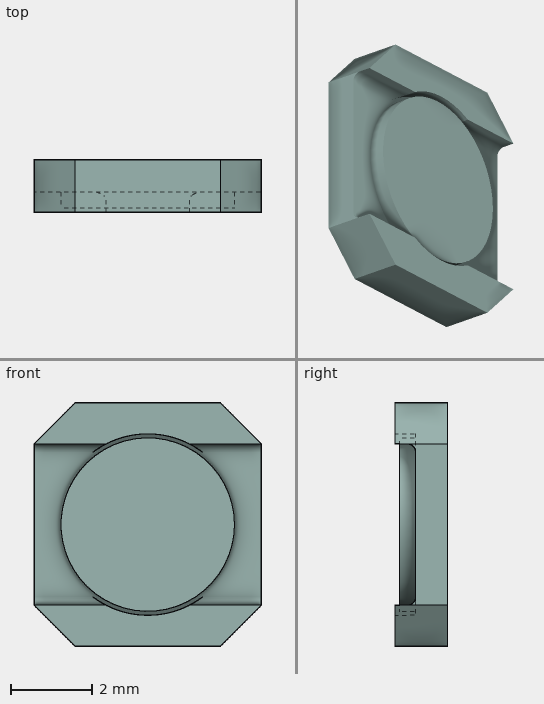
import cadquery as cq

width = 5.6
depth = 1.3
height = 6.0
corner_chamfer = 1.015

rail_height = corner_chamfer
channel_height = height - 2 * rail_height
channel_depth = 0.51
channel_fillet = 0.2

disc_radius = 2.135
pocket_clearance = 0.1
pocket_radius = disc_radius + pocket_clearance
disc_setback = 0.11

front_y = -depth / 2
floor_y = front_y + channel_depth


def make_block():
    """Plate with its four corners chamfered."""
    return cq.Workplane("XY").box(width, depth, height).edges("|Y").chamfer(corner_chamfer)


def make_channel():
    """Channel cutter with rounded edges along its floor."""
    cutter = cq.Workplane("XY").box(width, channel_depth, channel_height)
    cutter = cutter.edges("|X and >Y").fillet(channel_fillet)
    return cutter.translate((0, front_y + channel_depth / 2, 0))


def make_cylinder(radius, length):
    """Cylinder rising from the channel floor toward -Y."""
    return cq.Workplane("XZ", origin=(0, floor_y, 0)).circle(radius).extrude(length)


pocket = make_cylinder(pocket_radius, channel_depth)
disc = make_cylinder(disc_radius, channel_depth - disc_setback)

result = make_block().cut(make_channel()).cut(pocket).union(disc)